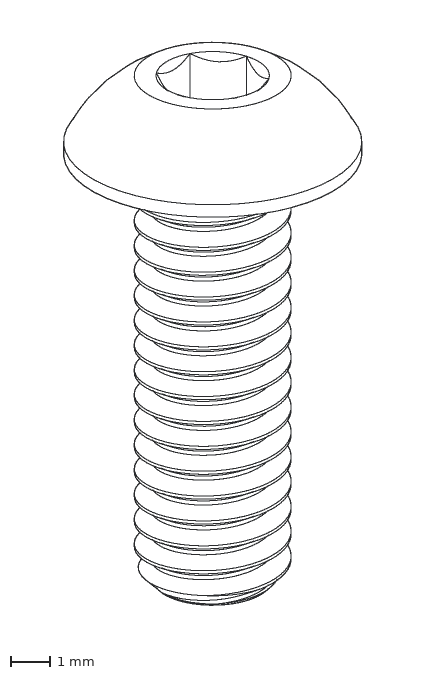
import cadquery as cq
import math


thread_diameter = 4.0
thread_radius = thread_diameter / 2
pitch = 0.7
shank_length = 12.0
flank_slope = math.tan(math.radians(30))
sharp_height = pitch / (2 * flank_slope)
thread_depth = 17 / 24 * sharp_height
root_radius = thread_radius - thread_depth
crest_flat = pitch / 8
ridge_embedding = 0.05
envelope_clearance = 0.1
crest_height_at_x = -0.225
tip_chamfer = 0.5

head_diameter = 7.6
head_radius = head_diameter / 2
head_height = 2.2
rim_height = 0.35
top_flat_radius = thread_radius

socket_width = 2.5
socket_corner_diameter = socket_width / math.cos(math.radians(30))
socket_depth = 1.55
socket_chamfer_angle = 45


def make_head():
    """Button head: a short cylindrical rim under a spherical dome with a flat top."""
    centre_z = (
        (top_flat_radius**2 + head_height**2 - head_radius**2 - rim_height**2)
        / (2 * (head_height - rim_height))
    )
    dome_radius = math.hypot(head_radius, rim_height - centre_z)
    middle_z = (head_height + rim_height) / 2
    middle_radius = math.sqrt(dome_radius**2 - (middle_z - centre_z) ** 2)
    return (
        cq.Workplane("XZ")
        .lineTo(head_radius, 0)
        .lineTo(head_radius, rim_height)
        .threePointArc((middle_radius, middle_z), (top_flat_radius, head_height))
        .lineTo(0, head_height)
        .close()
        .revolve(360, (0, 0, 0), (0, 1, 0))
    )


def make_socket():
    """Hexagonal recess with corners on the Y axis and a conical lead-in."""
    hexagon = (
        cq.Workplane("XY", origin=(0, 0, head_height - socket_depth))
        .transformed(rotate=(0, 0, 90))
        .polygon(6, socket_corner_diameter)
        .extrude(socket_depth)
    )
    corner_radius = socket_corner_diameter / 2
    cone_depth = corner_radius * math.tan(math.radians(socket_chamfer_angle))
    lead_in = (
        cq.Workplane("XZ", origin=(0, 0, head_height))
        .lineTo(corner_radius, 0)
        .lineTo(0, -cone_depth)
        .close()
        .revolve(360, (0, 0, 0), (0, 1, 0))
    )
    return hexagon.union(lead_in)


def make_thread_ridge():
    """Right-handed helical ridge, running from below the tip up into the head."""
    turns = math.ceil(shank_length / pitch) + 2
    start_z = crest_height_at_x + pitch - turns * pitch
    base_radius = root_radius - ridge_embedding
    crest_half = crest_flat / 2
    base_half = crest_half + (thread_radius - base_radius) * flank_slope
    corners = (
        (base_radius, -base_half),
        (thread_radius, -crest_half),
        (thread_radius, crest_half),
        (base_radius, base_half),
    )
    faces = []
    for turn in range(turns):
        turn_z = start_z + turn * pitch
        helices = [
            cq.Wire.makeHelix(pitch, pitch, radius, cq.Vector(0, 0, turn_z + offset))
            for radius, offset in corners
        ]
        for helix, next_helix in zip(helices, helices[1:] + helices[:1]):
            faces += cq.Face.makeRuledSurface(helix, next_helix).Faces()
    for end_z in (start_z, start_z + turns * pitch):
        outline = [cq.Vector(radius, 0, end_z + offset) for radius, offset in corners]
        faces.append(cq.Face.makeFromWires(cq.Wire.makePolygon(outline, close=True)))
    return cq.Workplane(cq.Solid.makeSolid(cq.Shell.makeShell(faces)))


def make_shank():
    """Threaded shank with a 45 degree chamfered tip."""
    envelope_radius = thread_radius + envelope_clearance
    core = cq.Workplane("XY").circle(root_radius).extrude(-shank_length)
    envelope = (
        cq.Workplane("XY", origin=(0, 0, -shank_length))
        .circle(envelope_radius)
        .extrude(shank_length + rim_height)
        .faces("<Z")
        .chamfer(tip_chamfer + envelope_clearance)
    )
    return core.union(make_thread_ridge()).intersect(envelope)


def make_neck():
    """45 degree cone that fills the thread groove just below the head."""
    return (
        cq.Workplane("XZ")
        .lineTo(thread_radius, 0)
        .lineTo(root_radius, -thread_depth)
        .lineTo(0, -thread_depth)
        .close()
        .revolve(360, (0, 0, 0), (0, 1, 0))
    )


result = make_shank().union(make_neck()).union(make_head()).cut(make_socket())